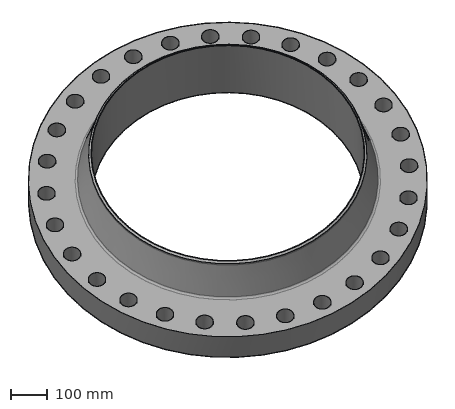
import cadquery as cq

flange_diameter = 1091.9
flange_thickness = 92.1
overall_height = 209.63

hub_base_diameter = 825.5
hub_top_diameter = 762.0
hub_root_fillet = 7.0
bore_diameter = 746.1
collar_height = 6.0
bevel_height = 4.0
land_width = 1.6

bolt_circle_diameter = 997.0
bolt_hole_diameter = 47.6
bolt_hole_count = 28


def flange_body():
    """Revolve the half section of plate, hub, collar and weld bevel about Z."""
    bore_radius = bore_diameter / 2
    hub_top_radius = hub_top_diameter / 2
    collar_top = overall_height - bevel_height
    section = [
        (bore_radius, 0),
        (flange_diameter / 2, 0),
        (flange_diameter / 2, flange_thickness),
        (hub_base_diameter / 2, flange_thickness),
        (hub_top_radius, collar_top - collar_height),
        (hub_top_radius, collar_top),
        (bore_radius + land_width, overall_height),
        (bore_radius, overall_height),
    ]
    return cq.Workplane("XZ").polyline(section).close().revolve(360, (0, 0, 0), (0, 1, 0))


def round_hub_root(body):
    """Fillet the circle where the hub meets the top of the plate."""
    root_radius = hub_base_diameter / 2
    margin = 1.0
    root_edge = cq.selectors.BoxSelector(
        (-root_radius - margin, -root_radius - margin, flange_thickness - margin),
        (root_radius + margin, root_radius + margin, flange_thickness + margin),
        boundingbox=True,
    )
    return body.edges(root_edge).fillet(hub_root_fillet)


def bolt_holes():
    """Through holes evenly spaced on the bolt circle, the first one on +X."""
    return (
        cq.Workplane("XY")
        .polarArray(bolt_circle_diameter / 2, 0, 360, bolt_hole_count)
        .circle(bolt_hole_diameter / 2)
        .extrude(flange_thickness)
    )


result = round_hub_root(flange_body()).cut(bolt_holes())